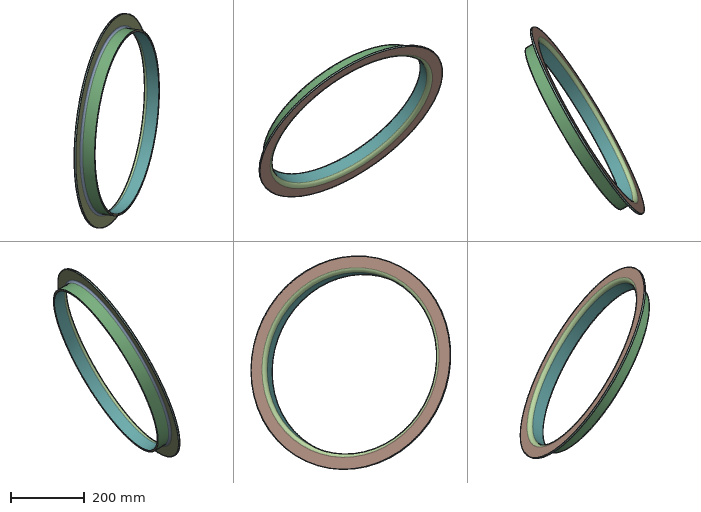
import cadquery as cq

flange_diameter = 585.0
collar_diameter = 508.0
bore_diameter = 498.0
total_length = 45.0
bore_bend_radius = 11.0

sheet_thickness = (collar_diameter - bore_diameter) / 2
collar_bend_radius = bore_bend_radius - sheet_thickness

flange_radius = flange_diameter / 2
collar_radius = collar_diameter / 2
bore_radius = bore_diameter / 2


def ring_profile():
    """Half section in the XY plane: X along the axis, Y as the radius."""
    return (
        cq.Workplane("XY")
        .moveTo(0, bore_radius + bore_bend_radius)
        .lineTo(0, flange_radius)
        .lineTo(sheet_thickness, flange_radius)
        .lineTo(sheet_thickness, collar_radius + collar_bend_radius)
        .radiusArc((bore_bend_radius, collar_radius), -collar_bend_radius)
        .lineTo(total_length, collar_radius)
        .lineTo(total_length, bore_radius)
        .lineTo(bore_bend_radius, bore_radius)
        .radiusArc((0, bore_radius + bore_bend_radius), bore_bend_radius)
        .close()
    )


result = ring_profile().revolve(360, (0, 0, 0), (1, 0, 0))